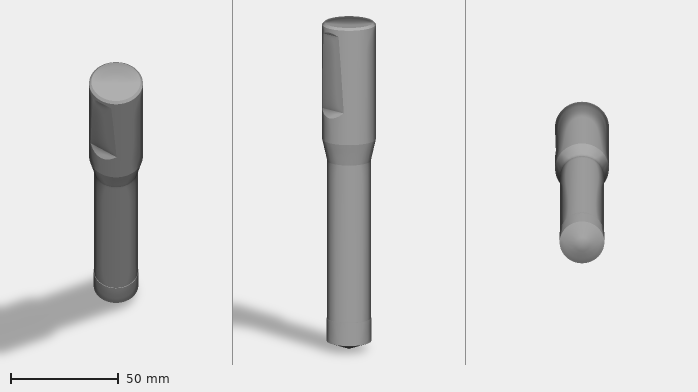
import cadquery as cq

total_length = 156.5
tip_edge_z = 3.9
joint_z = 14.9
taper_bottom_z = 90.3
taper_top_z = 100.6

shank_radius = 25.0 / 2
neck_radius = 20.3 / 2
tip_radius = 20.8 / 2
top_chamfer = 1.1

notch_bottom_z = 112.5
flat_bottom_z = 115.8
flat_top_z = 152.1
notch_top_z = 153.5
flat_bottom_depth = 2.3
flat_top_depth = 1.1


def revolve_profile(points):
    """Revolve a closed (radius, height) outline about the Z axis."""
    return cq.Workplane("XZ").polyline(points).close().revolve(360, (0, 0), (0, 1))


def make_notch_cutter():
    """Prism along X whose inner face is the tilted flat with sloped ends."""
    surface_y = -shank_radius
    outside_y = -2 * shank_radius
    return (
        cq.Workplane("YZ")
        .moveTo(outside_y, notch_bottom_z)
        .lineTo(surface_y, notch_bottom_z)
        .lineTo(surface_y + flat_bottom_depth, flat_bottom_z)
        .lineTo(surface_y + flat_top_depth, flat_top_z)
        .lineTo(surface_y, notch_top_z)
        .lineTo(outside_y, notch_top_z)
        .close()
        .extrude(shank_radius, both=True)
    )


def make_holder():
    """Chamfered shank, tapered shoulder and slim neck, with the clamping flat."""
    blank = revolve_profile([
        (0, joint_z),
        (neck_radius, joint_z),
        (neck_radius, taper_bottom_z),
        (shank_radius, taper_top_z),
        (shank_radius, total_length - top_chamfer),
        (shank_radius - top_chamfer, total_length),
        (0, total_length),
    ])
    return blank.cut(make_notch_cutter())


def make_tip():
    """Short cylindrical tip with a conical point, butted against the neck."""
    return revolve_profile([
        (0, 0),
        (tip_radius, tip_edge_z),
        (tip_radius, joint_z),
        (0, joint_z),
    ])


holder = make_holder()
tip = make_tip()
result = cq.Compound.makeCompound([holder.val(), tip.val()])